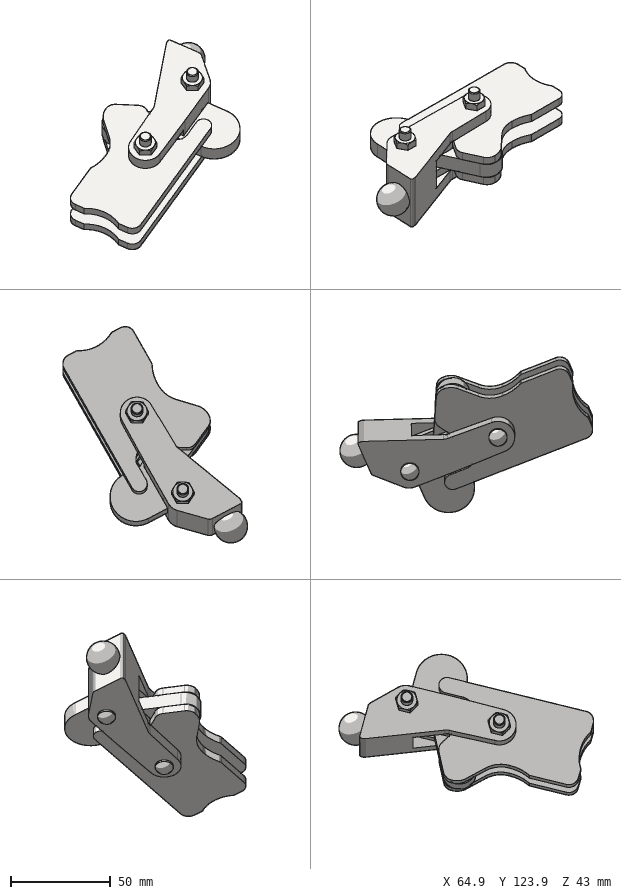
import cadquery as cq
import math


YOKE_HALF = 15.0
SLOT_HALF = 8.5
TONGUE_HALF = 4.1

SHANK_RADIUS = 3.0
SHANK_TOP = 23.9
SHANK_CHAMFER = 0.5
NUT_ACROSS_FLATS = 10.0
NUT_HEIGHT = 4.0
NUT_BEVEL_HEIGHT = 0.7
HEAD_RADIUS = 4.6
HEAD_RIM = 1.0
HEAD_HEIGHT = 4.1
UPPER_BOLT_Y = 48.0
BOLT_PLACES = [(0, 0), (0, UPPER_BOLT_Y)]

YOKE_TOP = 66.4
YOKE_LEFT = -24.0
YOKE_RIGHT = 8.8
YOKE_CORNER_RADIUS = 0.9
ARM_END_RADIUS = 8.4
SLANT_TOP_Y = 64.0
SLANT_TOP_RADIUS = 2.5
SLANT_BOTTOM = (-9.0, 24.8)
SLANT_BOTTOM_RADIUS = 5.6
BEVEL_TOP_X = -5.6
BEVEL_TOP_RADIUS = 3.0
BEVEL_BOTTOM_Y = YOKE_TOP - (YOKE_RIGHT - BEVEL_TOP_X)
BEVEL_BOTTOM_RADIUS = 7.4
BALL_RADIUS = 8.4
BALL_X = -15.1
BALL_Y = 70.6
WEB_LEFT = -8.8
WEB_BOTTOM = 23.5
WINDOW_TOP = 40.8
POCKET_MOUTH_X = -15.1
POCKET_TOP = WINDOW_TOP + (WEB_LEFT - POCKET_MOUTH_X)
NOTCH_TOP = 39.9

PLATE_HALF_WIDTH = 20.0
PLATE_BOTTOM = -44.9
PLATE_CORNER_RADIUS = 5.0
PRONG_LEFT = 11.8
PRONG_TOP = 35.3
PRONG_RADIUS = (PLATE_HALF_WIDTH - PRONG_LEFT) / 2
PRONG_CENTER_X = PLATE_HALF_WIDTH - PRONG_RADIUS
PRONG_CENTER_Y = PRONG_TOP - PRONG_RADIUS
CRADLE_BOTTOM = (PRONG_LEFT, 10.2)
CRADLE_RADIUS = 6.7
LOBE_PEAK = (-16.6, 27.6)
LOBE_PEAK_RADIUS = 5.2
WAIST_X = -17.4
WAIST_TOP_Y = -3.0
WAIST_TOP_RADIUS = 15.6
WAIST_BOTTOM_Y = -15.4
WAIST_BOTTOM_RADIUS = 22.9
SHOULDER_Y = -20.7
BOTTOM_HOLLOW_HALF_WIDTH = 9.9
BOTTOM_HOLLOW_DEPTH = 2.9

LOBE_LEFT = -32.1
LOBE_UPPER_Y = 20.0
LOBE_LOWER_Y = 12.3
LOBE_UPPER_RADIUS = 5.3
LOBE_LOWER_RADIUS = 9.3

TONGUE_ANGLE = math.radians(26.4)
TONGUE_END_RADIUS = 8.4
TONGUE_END_X = LOBE_LEFT + TONGUE_END_RADIUS
TONGUE_END_Y = 14.6
STOP_TOP = 48.2
STOP_BOTTOM = 22.0
STOP_RADIUS = (STOP_TOP - STOP_BOTTOM) / 2
STOP_RIGHT = 32.8
STOP_CENTER_X = STOP_RIGHT - STOP_RADIUS
STOP_LEFT = YOKE_RIGHT
STOP_INNER_RADIUS = 7.4

SPACER_RADIUS = 7.8

REACH = 74.4


def rounded_prism(corners, bottom, top):
    """Prism over (x, y, radius) corners; a radius of 0 leaves the corner sharp."""
    outline = [(x, y) for x, y, _ in corners]
    prism = cq.Workplane("XY").workplane(offset=bottom).polyline(outline).close().extrude(top - bottom)
    middle = (bottom + top) / 2
    for x, y, radius in corners:
        if radius > 0:
            corner_edge = cq.selectors.NearestToPointSelector((x, y, middle))
            prism = prism.edges("|Z").edges(corner_edge).fillet(radius)
    return prism


def disc(x, y, radius, bottom, top):
    """Upright cylinder."""
    return cq.Workplane("XY").workplane(offset=bottom).center(x, y).circle(radius).extrude(top - bottom)


def bolt_holes(half_height):
    """Cutter for both bolt holes."""
    return (
        cq.Workplane("XY").workplane(offset=-half_height).pushPoints(BOLT_PLACES)
        .circle(SHANK_RADIUS).extrude(2 * half_height)
    )


def make_plate(bottom, top):
    """One handle plate, with its lobe, prong and hollowed lower end."""
    corners = [
        (PLATE_HALF_WIDTH, PLATE_BOTTOM, PLATE_CORNER_RADIUS),
        (PLATE_HALF_WIDTH, PRONG_CENTER_Y, 0),
        (PRONG_LEFT, PRONG_CENTER_Y, 0),
        (*CRADLE_BOTTOM, CRADLE_RADIUS),
        (*LOBE_PEAK, LOBE_PEAK_RADIUS),
        (LOBE_LEFT, LOBE_UPPER_Y, LOBE_UPPER_RADIUS),
        (LOBE_LEFT, LOBE_LOWER_Y, LOBE_LOWER_RADIUS),
        (WAIST_X, WAIST_TOP_Y, WAIST_TOP_RADIUS),
        (WAIST_X, WAIST_BOTTOM_Y, WAIST_BOTTOM_RADIUS),
        (-PLATE_HALF_WIDTH, SHOULDER_Y, 0),
        (-PLATE_HALF_WIDTH, PLATE_BOTTOM, PLATE_CORNER_RADIUS),
    ]
    plate = rounded_prism(corners, bottom, top)
    plate = plate.union(disc(PRONG_CENTER_X, PRONG_CENTER_Y, PRONG_RADIUS, bottom, top))
    hollow_radius = (BOTTOM_HOLLOW_HALF_WIDTH**2 + BOTTOM_HOLLOW_DEPTH**2) / (2 * BOTTOM_HOLLOW_DEPTH)
    hollow_y = PLATE_BOTTOM + BOTTOM_HOLLOW_DEPTH - hollow_radius
    return plate.cut(disc(0, hollow_y, hollow_radius, bottom, top))


def make_tongue():
    """Middle layer of the handle: sloping strip with a round end, and a round-ended stop."""
    slope = math.tan(TONGUE_ANGLE)
    side_dx = TONGUE_END_RADIUS * math.sin(TONGUE_ANGLE)
    side_dy = TONGUE_END_RADIUS * math.cos(TONGUE_ANGLE)
    upper_start = (TONGUE_END_X - side_dx, TONGUE_END_Y + side_dy)
    lower_start = (TONGUE_END_X + side_dx, TONGUE_END_Y - side_dy)
    upper_end_y = upper_start[1] + slope * (STOP_LEFT - upper_start[0])
    lower_end_x = lower_start[0] + (STOP_BOTTOM - lower_start[1]) / slope
    corners = [
        (STOP_CENTER_X, STOP_TOP, 0),
        (STOP_LEFT, STOP_TOP, 0),
        (STOP_LEFT, upper_end_y, STOP_INNER_RADIUS),
        (*upper_start, 0),
        (*lower_start, 0),
        (lower_end_x, STOP_BOTTOM, 0),
        (STOP_CENTER_X, STOP_BOTTOM, 0),
    ]
    tongue = rounded_prism(corners, -TONGUE_HALF, TONGUE_HALF)
    tongue = tongue.union(disc(TONGUE_END_X, TONGUE_END_Y, TONGUE_END_RADIUS, -TONGUE_HALF, TONGUE_HALF))
    stop_y = (STOP_TOP + STOP_BOTTOM) / 2
    return tongue.union(disc(STOP_CENTER_X, stop_y, STOP_RADIUS, -TONGUE_HALF, TONGUE_HALF))


def make_handle(tongue):
    """Two plates joined by the tongue and a spacer, bored for the pivot bolt."""
    handle = tongue.union(disc(0, 0, SPACER_RADIUS, -TONGUE_HALF, TONGUE_HALF))
    for bottom, top in [(-SLOT_HALF, -TONGUE_HALF), (TONGUE_HALF, SLOT_HALF)]:
        handle = handle.union(make_plate(bottom, top))
    return handle.cut(bolt_holes(YOKE_HALF))


def yoke_slot():
    """Cutter that separates the arms below the web and opens the pocket beside it."""
    corners = [
        (-REACH, WINDOW_TOP, 0),
        (POCKET_MOUTH_X, WINDOW_TOP, 0),
        (WEB_LEFT, POCKET_TOP, 0),
        (WEB_LEFT, WEB_BOTTOM, 0),
        (REACH, WEB_BOTTOM, 0),
        (REACH, -REACH, 0),
        (-REACH, -REACH, 0),
    ]
    return rounded_prism(corners, -SLOT_HALF, SLOT_HALF)


def tongue_notch():
    """Cutter for the passage of the tongue through the web."""
    corners = [
        (WEB_LEFT, NOTCH_TOP, 0),
        (REACH, NOTCH_TOP, 0),
        (REACH, 0, 0),
        (WEB_LEFT, 0, 0),
    ]
    return rounded_prism(corners, -TONGUE_HALF, TONGUE_HALF)


def make_yoke(tongue):
    """Yoke with two tapered arms, a web between them and a ball on its end."""
    corners = [
        (YOKE_LEFT, YOKE_TOP, YOKE_CORNER_RADIUS),
        (BEVEL_TOP_X, YOKE_TOP, BEVEL_TOP_RADIUS),
        (YOKE_RIGHT, BEVEL_BOTTOM_Y, BEVEL_BOTTOM_RADIUS),
        (YOKE_RIGHT, SLANT_BOTTOM[1], 0),
        (ARM_END_RADIUS, 0, 0),
        (-ARM_END_RADIUS, 0, 0),
        (*SLANT_BOTTOM, SLANT_BOTTOM_RADIUS),
        (YOKE_LEFT, SLANT_TOP_Y, SLANT_TOP_RADIUS),
    ]
    yoke = rounded_prism(corners, -YOKE_HALF, YOKE_HALF)
    yoke = yoke.union(disc(0, 0, ARM_END_RADIUS, -YOKE_HALF, YOKE_HALF))
    ball = cq.Workplane("XZ").sphere(BALL_RADIUS).translate((BALL_X, BALL_Y, 0))
    yoke = yoke.union(ball)
    yoke = yoke.cut(yoke_slot()).cut(tongue_notch()).cut(tongue)
    return yoke.cut(bolt_holes(YOKE_HALF))


def make_bolt(x, y):
    """Domed bolt with its hexagon nut, tightened across the yoke."""
    shank = disc(0, 0, SHANK_RADIUS, -YOKE_HALF, SHANK_TOP).faces(">Z").chamfer(SHANK_CHAMFER)

    head = (
        cq.Workplane("XZ").moveTo(0, -YOKE_HALF).lineTo(HEAD_RADIUS, -YOKE_HALF)
        .lineTo(HEAD_RADIUS, -YOKE_HALF - HEAD_RIM)
    )
    dome_height = HEAD_HEIGHT - HEAD_RIM
    dome_radius = (HEAD_RADIUS**2 + dome_height**2) / (2 * dome_height)
    half_angle = math.asin(HEAD_RADIUS / dome_radius) / 2
    head_bottom = -YOKE_HALF - HEAD_HEIGHT
    dome_middle = (
        dome_radius * math.sin(half_angle),
        head_bottom + dome_radius * (1 - math.cos(half_angle)),
    )
    head = head.threePointArc(dome_middle, (0, head_bottom)).close().revolve(360, (0, 0, 0), (0, 1, 0))

    across_corners = NUT_ACROSS_FLATS / math.cos(math.pi / 6)
    nut = (
        cq.Workplane("XY").workplane(offset=YOKE_HALF).transformed(rotate=(0, 0, 90))
        .polygon(6, across_corners).extrude(NUT_HEIGHT)
    )
    bevel = disc(0, 0, across_corners / 2, YOKE_HALF, YOKE_HALF + NUT_HEIGHT)
    bevel_width = (across_corners - NUT_ACROSS_FLATS) / 2
    bevel = bevel.faces(">Z").chamfer(NUT_BEVEL_HEIGHT, bevel_width)
    return shank.union(head).union(nut.intersect(bevel)).translate((x, y, 0))


handle_tongue = make_tongue()
yoke = make_yoke(handle_tongue)
handle = make_handle(handle_tongue)
bolts = [make_bolt(x, y) for x, y in BOLT_PLACES]

bodies = [yoke, handle, *bolts]
result = cq.Compound.makeCompound([body.solids().val() for body in bodies])